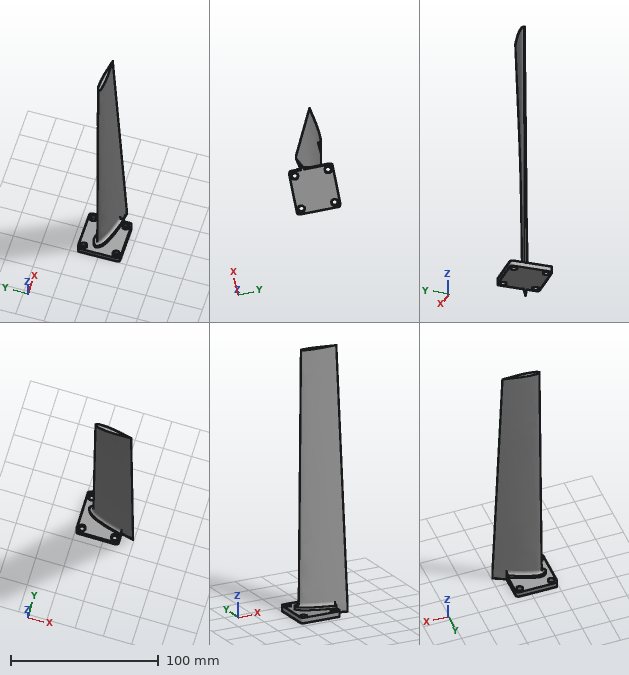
import cadquery as cq
import math

PLATE_SIDE = 30.0
PLATE_THICKNESS = 4.0
PLATE_CORNER_RADIUS = 2.0
HOLE_DIAMETER = 4.5
HOLE_PITCH = 23.0

ROOT_TOP = 6.0
TIP_HEIGHT = 190.0
THICKNESS_RATIO = 0.12
PIVOT_FRACTION = 0.25
TOTAL_LENGTH_X = 38.71
TRAILING_EDGE_X = TOTAL_LENGTH_X - PLATE_SIDE / 2
ROOT_ANGLE = 19.5
ROOT_CHORD = TRAILING_EDGE_X / ((1 - PIVOT_FRACTION) * math.cos(math.radians(ROOT_ANGLE)))
ROOT_PIVOT = (0.0, 0.0)
TIP_ANGLE = 5.0
TIP_CHORD = 26.2
TIP_PIVOT = (0.2, 2.0)
SPANS_PER_SIDE = 8

NACA_REFERENCE_THICKNESS = 0.2
NACA_ROOT_TERM = 0.2969
NACA_POWER_TERMS = (-0.1260, -0.3516, 0.2843, -0.1036)

COLLAR_OFFSET = 2.5
COLLAR_NOSE_REACH = 3.0
FOOT_FILLET_RADIUS = 2.0

MATCH_TOLERANCE = 0.001


def half_thickness(fraction):
    """Half thickness of a symmetric four-digit NACA section, per unit chord."""
    root_term = NACA_ROOT_TERM * math.sqrt(fraction)
    power_terms = sum(term * fraction**power for power, term in enumerate(NACA_POWER_TERMS, start=1))
    return THICKNESS_RATIO / NACA_REFERENCE_THICKNESS * (root_term + power_terms)


def section_point(fraction, side, chord, angle, pivot):
    """Point on the upper (side = 1) or lower (side = -1) surface of a section."""
    along = (fraction - PIVOT_FRACTION) * chord
    across = side * half_thickness(fraction) * chord
    turn = math.radians(-angle)
    return (
        pivot[0] + along * math.cos(turn) - across * math.sin(turn),
        pivot[1] + along * math.sin(turn) + across * math.cos(turn),
    )


def spaced_fractions():
    """Fractions from 0 to 1, cosine spaced so that they gather at the two ends."""
    return [(1 - math.cos(math.pi * i / SPANS_PER_SIDE)) / 2 for i in range(SPANS_PER_SIDE + 1)]


def surface_points(side, chord, angle, pivot):
    """Points along one surface, from the leading edge to the trailing edge."""
    return [section_point(fraction, side, chord, angle, pivot) for fraction in spaced_fractions()]


def surface_curve(side, chord, angle, pivot):
    """Curve along one surface at Z = 0, from the leading edge to the trailing edge."""
    points = surface_points(side, chord, angle, pivot)
    return cq.Edge.makeSpline([cq.Vector(x, y) for x, y in points])


def section(height, chord, angle, pivot):
    """Closed airfoil wire of two curves that meet at the leading and trailing edges."""
    sides = [surface_curve(side, chord, angle, pivot) for side in (1, -1)]
    return cq.Wire.assembleEdges(sides).translate(cq.Vector(0, 0, height))


def root_section(height):
    return section(height, ROOT_CHORD, ROOT_ANGLE, ROOT_PIVOT)


def prism(wire, height):
    return cq.Workplane(cq.Solid.extrudeLinear(wire, [], cq.Vector(0, 0, height)))


def make_plate():
    plate = cq.Workplane("XY").rect(PLATE_SIDE, PLATE_SIDE).extrude(PLATE_THICKNESS)
    plate = plate.edges("|Z").fillet(PLATE_CORNER_RADIUS)
    holes = plate.faces(">Z").workplane().rect(HOLE_PITCH, HOLE_PITCH, forConstruction=True)
    return holes.vertices().hole(HOLE_DIAMETER)


def make_blade():
    root = prism(root_section(0), ROOT_TOP)
    tip_section = section(TIP_HEIGHT, TIP_CHORD, TIP_ANGLE, TIP_PIVOT)
    span = cq.Solid.makeLoft([root_section(ROOT_TOP), tip_section], True)
    return root.union(cq.Workplane(span))


def collar_curve(side):
    """Root surface curve moved outward by COLLAR_OFFSET, starting from the collar's pointed nose."""
    surface = surface_curve(side, ROOT_CHORD, ROOT_ANGLE, ROOT_PIVOT)
    points = [surface.startPoint() - cq.Vector(COLLAR_NOSE_REACH, 0, 0)]
    for place in spaced_fractions()[1:]:
        outward = cq.Vector(0, 0, side).cross(surface.tangentAt(place))
        points.append(surface.positionAt(place) + outward * COLLAR_OFFSET)
    return cq.Edge.makeSpline(points)


def make_collar():
    """Collar around the root, cut flush with the plate's +X side."""
    upper = collar_curve(1)
    lower = collar_curve(-1)
    tail = cq.Edge.makeLine(upper.endPoint(), lower.endPoint())
    outline = cq.Wire.assembleEdges([upper, tail, lower])
    plate_column = cq.Workplane("XY").rect(PLATE_SIDE, PLATE_SIDE).extrude(ROOT_TOP)
    return prism(outline, ROOT_TOP).intersect(plate_column)


def round_blade_foot(body):
    """Fillet the two edges that run from the blade's nose along the top of the collar."""
    nose = cq.Vertex.makeVertex(*section_point(0, 1, ROOT_CHORD, ROOT_ANGLE, ROOT_PIVOT), ROOT_TOP)
    blade_foot = [
        edge for edge in body.edges().vals()
        if edge.distance(nose) < MATCH_TOLERANCE and abs(edge.Center().z - ROOT_TOP) < MATCH_TOLERANCE
    ]
    return body.newObject(blade_foot).fillet(FOOT_FILLET_RADIUS)


body = make_plate().union(make_collar()).union(make_blade())
result = round_blade_foot(body)